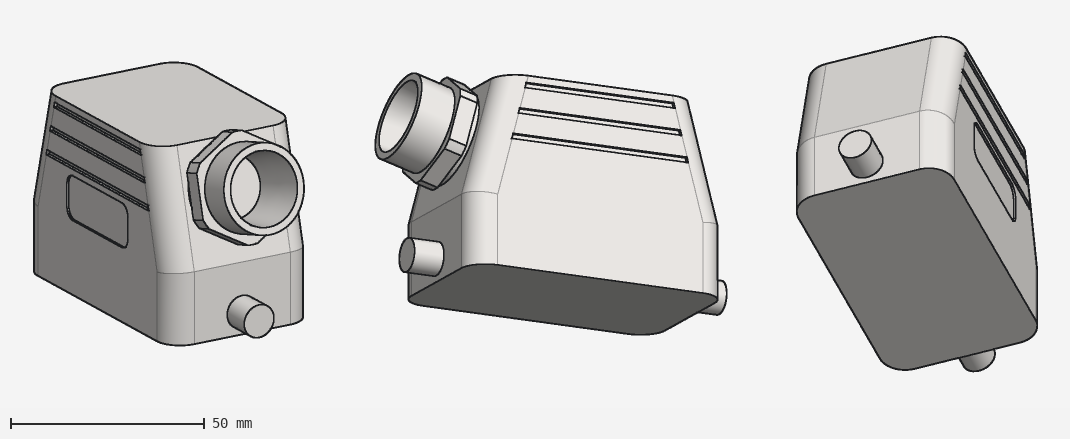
import cadquery as cq
import math

BODY_LENGTH = 73.0
BODY_WIDTH = 43.0
BODY_HEIGHT = 51.9
BASE_HEIGHT = 19.95
LEAN_ANGLE = 15.0
CORNER_RADIUS = 7.0

PIN_DIAMETER = 9.0
PIN_SPAN = 89.9
PIN_HEIGHT = 6.2

GROOVE_COUNT = 3
GROOVE_HEIGHT = 1.4
GROOVE_DEPTH = 1.0
GROOVE_PITCH = 7.1
TOP_GROOVE_DROP = 1.9

PANEL_LENGTH = 30.2
PANEL_HEIGHT = 12.2
PANEL_BOTTOM = 20.4
PANEL_RADIUS = 3.0
PANEL_DEPTH = 0.6

GLAND_HEIGHT = 38.85
COLLAR_DIAMETER = 26.0
COLLAR_LENGTH = 1.6
HEX_ACROSS_FLATS = 27.1
HEX_CORNER_DIAMETER = 29.8
HEX_LENGTH = 5.1
SLEEVE_DIAMETER = 24.0
SLEEVE_LENGTH = 9.8
BORE_MOUTH_DIAMETER = 19.95
BORE_END_DIAMETER = 17.0

LEAN = math.tan(math.radians(LEAN_ANGLE))


def end_face_x(z):
    """Distance of the leaning end faces from the middle of the body at height z."""
    return BODY_LENGTH / 2 - (z - BASE_HEIGHT) * LEAN


def make_body():
    base_x = BODY_LENGTH / 2
    top_x = end_face_x(BODY_HEIGHT)
    outline = [
        (-base_x, 0),
        (base_x, 0),
        (base_x, BASE_HEIGHT),
        (top_x, BODY_HEIGHT),
        (-top_x, BODY_HEIGHT),
        (-base_x, BASE_HEIGHT),
    ]
    block = cq.Workplane("XZ").polyline(outline).close().extrude(BODY_WIDTH / 2, both=True)
    return block.faces("<Y or >Y").edges("not |X").fillet(CORNER_RADIUS)


def make_pins():
    pins = cq.Workplane("YZ").center(0, PIN_HEIGHT).circle(PIN_DIAMETER / 2)
    return pins.extrude(PIN_SPAN / 2, both=True)


def make_groove(top_z):
    """Cutter for one groove on both long sides, ending where the rounded corners begin."""
    bottom_z = top_z - GROOVE_HEIGHT
    corner_x = CORNER_RADIUS / math.cos(math.radians(LEAN_ANGLE))
    top_x = end_face_x(top_z) - corner_x
    bottom_x = end_face_x(bottom_z) - corner_x
    outline = [(-bottom_x, bottom_z), (bottom_x, bottom_z), (top_x, top_z), (-top_x, top_z)]
    front = cq.Workplane("XZ", origin=(0, -BODY_WIDTH / 2, 0))
    groove = front.polyline(outline).close().extrude(-GROOVE_DEPTH)
    return groove.union(groove.mirror("XZ"))


def make_panel():
    """Cutter for the shallow panel with rounded corners."""
    center = (0, -BODY_WIDTH / 2, PANEL_BOTTOM + PANEL_HEIGHT / 2)
    panel = cq.Workplane("XZ", origin=center).rect(PANEL_LENGTH, PANEL_HEIGHT).extrude(-PANEL_DEPTH)
    return panel.edges("|Y").fillet(PANEL_RADIUS)


def gland_plane(distance):
    """Plane across the gland axis, at a distance out from the leaning face."""
    axis_x = math.cos(math.radians(LEAN_ANGLE))
    axis_z = math.sin(math.radians(LEAN_ANGLE))
    origin = (
        end_face_x(GLAND_HEIGHT) + distance * axis_x,
        0,
        GLAND_HEIGHT + distance * axis_z,
    )
    return cq.Workplane(cq.Plane(origin=origin, xDir=(0, 1, 0), normal=(axis_x, 0, axis_z)))


def make_gland():
    sleeve_end = COLLAR_LENGTH + HEX_LENGTH + SLEEVE_LENGTH
    collar = gland_plane(0).circle(COLLAR_DIAMETER / 2).extrude(COLLAR_LENGTH)
    hexagon = gland_plane(COLLAR_LENGTH)
    hexagon = hexagon.polygon(6, HEX_ACROSS_FLATS, circumscribed=True).extrude(HEX_LENGTH)
    corner_round = gland_plane(COLLAR_LENGTH).circle(HEX_CORNER_DIAMETER / 2).extrude(HEX_LENGTH)
    nut = hexagon.intersect(corner_round)
    sleeve = gland_plane(COLLAR_LENGTH).circle(SLEEVE_DIAMETER / 2).extrude(HEX_LENGTH + SLEEVE_LENGTH)
    bore = gland_plane(0).circle(BORE_END_DIAMETER / 2)
    bore = bore.workplane(offset=sleeve_end).circle(BORE_MOUTH_DIAMETER / 2).loft()
    return collar.union(nut).union(sleeve).cut(bore)


body = make_body()
for index in range(GROOVE_COUNT):
    body = body.cut(make_groove(BODY_HEIGHT - TOP_GROOVE_DROP - index * GROOVE_PITCH))
body = body.cut(make_panel())
result = body.union(make_pins()).union(make_gland())